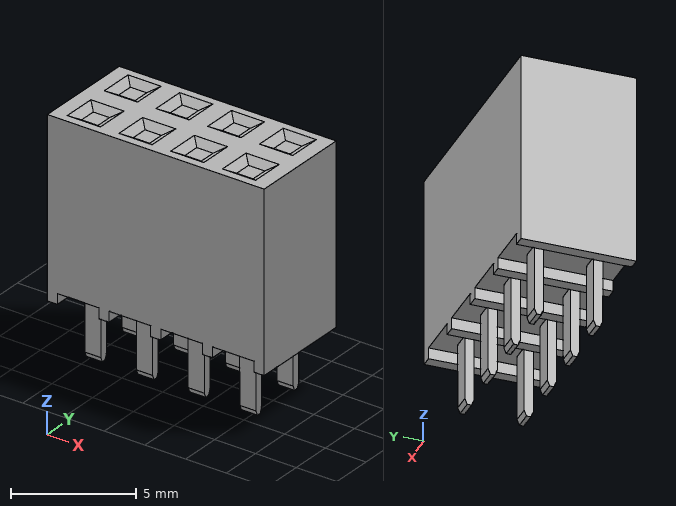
import cadquery as cq

PITCH = 2.54
COLUMNS = 4
ROWS = 2

HOUSING_LENGTH = 10.67
HOUSING_WIDTH = 4.95
HOUSING_HEIGHT = 8.5
FOOT_HEIGHT = 0.5
FOOT_LENGTH = 0.5
CHANNEL_LENGTH = PITCH - FOOT_LENGTH

POCKET_MOUTH = 1.63
POCKET_FLOOR = 0.8
POCKET_DEPTH = 0.25

OVERALL_HEIGHT = 11.15
PIN_WIDTH = 0.8
PIN_THICKNESS = 0.4
TIP_HEIGHT = 0.25
TIP_THICKNESS = PIN_THICKNESS / 2
PIN_TOP = FOOT_HEIGHT
PIN_BOTTOM = HOUSING_HEIGHT - OVERALL_HEIGHT

COLUMN_POSITIONS = [(column - (COLUMNS - 1) / 2) * PITCH for column in range(COLUMNS)]
ROW_POSITIONS = [(row - (ROWS - 1) / 2) * PITCH for row in range(ROWS)]
CONTACT_POSITIONS = [(x, y) for x in COLUMN_POSITIONS for y in ROW_POSITIONS]


def make_channel(x):
    """Channel across the underside that leaves a foot on either side of a column."""
    return (
        cq.Workplane("XY")
        .center(x, 0)
        .rect(CHANNEL_LENGTH, HOUSING_WIDTH)
        .extrude(FOOT_HEIGHT)
    )


def make_pocket(x, y):
    """Square pocket that narrows from the top face down to its floor."""
    return (
        cq.Workplane("XY", origin=(x, y, HOUSING_HEIGHT))
        .rect(POCKET_MOUTH, POCKET_MOUTH)
        .workplane(offset=-POCKET_DEPTH)
        .rect(POCKET_FLOOR, POCKET_FLOOR)
        .loft(ruled=True)
    )


def make_housing():
    """Block with channels below and a pocket above each pin."""
    body = cq.Workplane("XY").rect(HOUSING_LENGTH, HOUSING_WIDTH).extrude(HOUSING_HEIGHT)
    for x in COLUMN_POSITIONS:
        body = body.cut(make_channel(x))
    for x, y in CONTACT_POSITIONS:
        body = body.cut(make_pocket(x, y))
    return body


def make_pin(x, y):
    """Pin that hangs from the channel ceiling, extruded across its width."""
    half_thickness = PIN_THICKNESS / 2
    half_tip = TIP_THICKNESS / 2
    shoulder = PIN_BOTTOM + TIP_HEIGHT
    profile = [
        (-half_thickness, PIN_TOP),
        (-half_thickness, shoulder),
        (-half_tip, PIN_BOTTOM),
        (half_tip, PIN_BOTTOM),
        (half_thickness, shoulder),
        (half_thickness, PIN_TOP),
    ]
    return (
        cq.Workplane("YZ")
        .polyline(profile)
        .close()
        .extrude(PIN_WIDTH / 2, both=True)
        .translate((x, y, 0))
    )


housing = make_housing()
pins = [make_pin(x, y) for x, y in CONTACT_POSITIONS]

result = cq.Compound.makeCompound([housing.val(), *[pin.val() for pin in pins]])